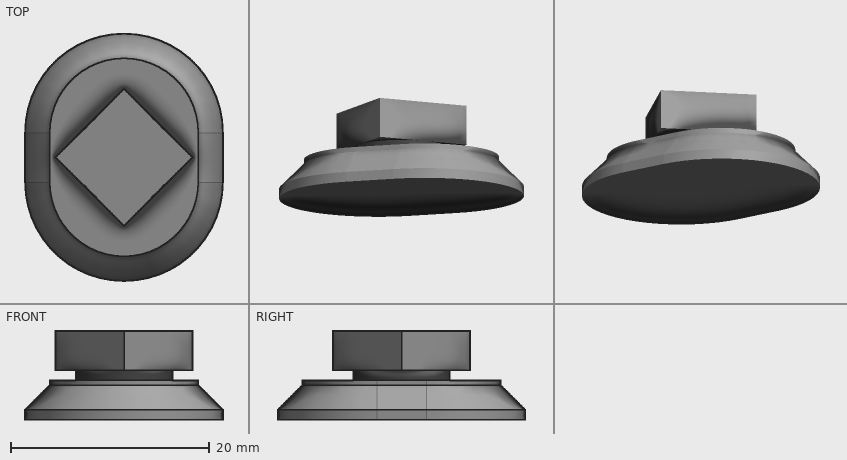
import cadquery as cq

base_width = 20.0
base_length = 25.0
rim_height = 1.0
bevel_size = 2.5
lip_height = 0.5

neck_diameter = 9.8
neck_height = 1.0
head_side = neck_diameter
head_height = 4.0
head_angle = 45.0

lip_width = base_width - 2 * bevel_size
lip_length = base_length - 2 * bevel_size
bevel_top = rim_height + bevel_size
base_top = bevel_top + lip_height
neck_top = base_top + neck_height


def stadium(length, width, bottom, height):
    """Upright prism with a stadium outline, long along Y."""
    plane = cq.Workplane("XY").workplane(offset=bottom)
    return plane.slot2D(length, width, 90).extrude(height)


def make_base():
    """Straight rim, 45 degree bevel and a thin straight lip on top."""
    body = stadium(base_length, base_width, 0, bevel_top)
    body = body.faces(">Z").chamfer(bevel_size)
    return body.union(stadium(lip_length, lip_width, bevel_top, lip_height))


def make_neck():
    plane = cq.Workplane("XY").workplane(offset=base_top)
    return plane.circle(neck_diameter / 2).extrude(neck_height)


def make_head():
    plane = cq.Workplane("XY").workplane(offset=neck_top)
    head = plane.rect(head_side, head_side).extrude(head_height)
    return head.rotate((0, 0, 0), (0, 0, 1), head_angle)


result = make_base().union(make_neck()).union(make_head())